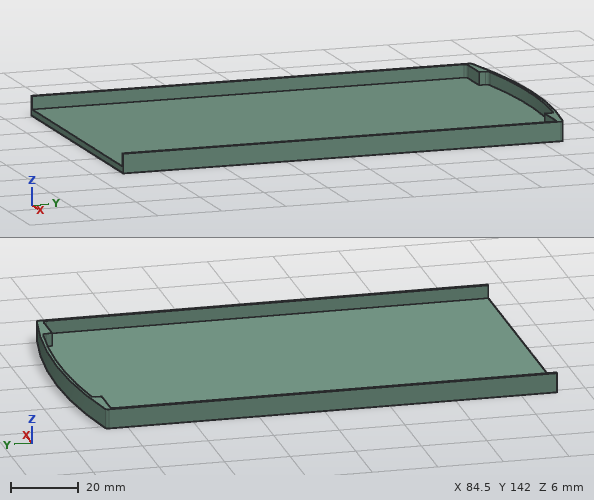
import cadquery as cq
import math

width = 84.5
length = 142.0
height = 6.0
floor_thickness = 2.0
wall = 1.0

crown_radius = 201.6

recess_radius = crown_radius - wall
corner_block_width = 12.2
corner_block_setback = 6.1
corner_radius = wall

half_width = width / 2
crown_peak = length / 2
open_end = -length / 2


def arc_drop(radius, offset):
    """Fall of an arc below its peak at a sideways offset from its centre."""
    return radius - math.sqrt(radius**2 - offset**2)


def make_plate():
    """Solid blank with straight sides and a crowned far end."""
    side_end = crown_peak - arc_drop(crown_radius, half_width)
    blank = (
        cq.Workplane("XY")
        .moveTo(-half_width, open_end)
        .lineTo(half_width, open_end)
        .lineTo(half_width, side_end)
        .threePointArc((0, crown_peak), (-half_width, side_end))
        .close()
        .extrude(height)
    )
    far_corners = cq.selectors.BoxSelector(
        (-width, side_end - corner_radius, 0),
        (width, side_end + corner_radius, height),
    )
    return blank.edges("|Z").edges(far_corners).fillet(corner_radius)


def make_tray_pocket():
    """Main pocket, open at the near end and at the top."""
    pocket_length = length - corner_block_setback
    return (
        cq.Workplane("XY", origin=(0, open_end, floor_thickness))
        .rect(width - 2 * wall, 2 * pocket_length)
        .extrude(height)
        .edges("|Z").edges(">Y")
        .fillet(corner_radius)
    )


def make_crown_recess():
    """Arched extension of the pocket between the corner blocks."""
    recess_half_width = half_width - corner_block_width
    recess_peak = crown_peak - wall
    recess_end = recess_peak - arc_drop(recess_radius, recess_half_width)
    return (
        cq.Workplane("XY", origin=(0, 0, floor_thickness))
        .moveTo(-recess_half_width, 0)
        .lineTo(recess_half_width, 0)
        .lineTo(recess_half_width, recess_end)
        .threePointArc((0, recess_peak), (-recess_half_width, recess_end))
        .close()
        .extrude(height)
        .edges("|Z").edges(">Y")
        .fillet(corner_radius)
    )


result = make_plate().cut(make_tray_pocket()).cut(make_crown_recess())